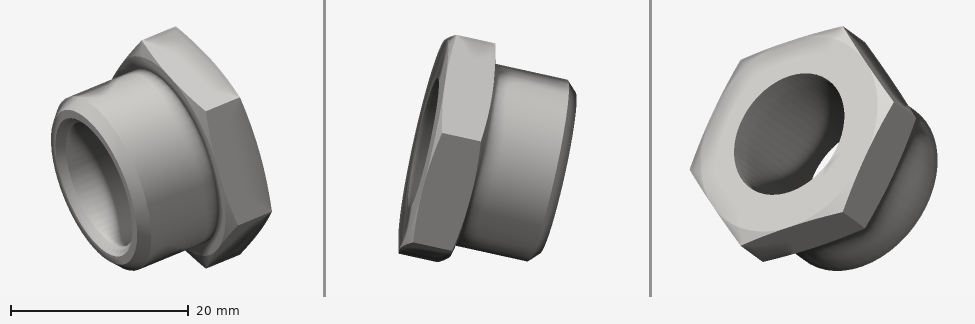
import cadquery as cq
import math

across_corners = 27.7
total_length = 15.5
head_thickness = 5.5
spigot_diameter = 20.95
spigot_chamfer = 1.15
bore_diameter = 14.95
bore_chamfer = 0.83
head_chamfer_angle = 15.0

corner_radius = across_corners / 2
flat_radius = corner_radius * math.cos(math.radians(30))
head_chamfer_depth = (corner_radius - flat_radius) * math.tan(math.radians(head_chamfer_angle))


def make_head():
    """Hexagon from y = 0 to -head_thickness, with conically turned corners on both faces."""
    hexagon = cq.Workplane("XZ").polygon(6, across_corners).extrude(head_thickness)
    turned_envelope = (
        cq.Workplane("XY")
        .moveTo(0, 0)
        .lineTo(flat_radius, 0)
        .lineTo(corner_radius, -head_chamfer_depth)
        .lineTo(corner_radius, head_chamfer_depth - head_thickness)
        .lineTo(flat_radius, -head_thickness)
        .lineTo(0, -head_thickness)
        .close()
        .revolve(360, (0, 0, 0), (0, 1, 0))
    )
    return hexagon.intersect(turned_envelope)


def make_spigot():
    """Cylinder along the full length, chamfered at its free end."""
    cylinder = cq.Workplane("XZ").circle(spigot_diameter / 2).extrude(total_length)
    return cylinder.faces("<Y").chamfer(spigot_chamfer)


def make_bore():
    """Through bore with a countersunk mouth at the free end of the spigot."""
    bore_radius = bore_diameter / 2
    return (
        cq.Workplane("XY")
        .moveTo(0, 0)
        .lineTo(bore_radius, 0)
        .lineTo(bore_radius, bore_chamfer - total_length)
        .lineTo(bore_radius + bore_chamfer, -total_length)
        .lineTo(0, -total_length)
        .close()
        .revolve(360, (0, 0, 0), (0, 1, 0))
    )


result = make_head().union(make_spigot()).cut(make_bore())